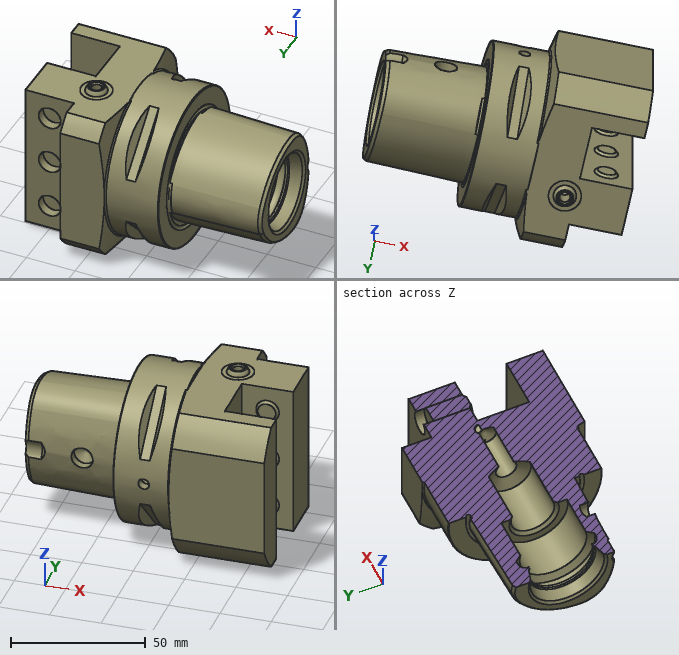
import cadquery as cq
import math

flange_start = 38.0
flange_end = 60.0
slot_floor = 78.0
overall_length = 98.0

shank_half_width = 22.0
lobe_eccentricity = 1.4
lobe_centre_distance = 10.7
shank_taper = 1 / 40
shank_chamfer_length = 1.4
shank_chamfer_depth = 0.8
neck_start = 35.6
lobe_count = 3

relief_start = 36.4
relief_entry_end = 37.0
relief_inner_radius = 22.5
relief_outer_radius = 24.2

flange_radius = 31.5
flange_front_chamfer = 0.3
gripper_centre = 50.0
gripper_floor_width = 3.7
gripper_floor_distance = 28.0
gripper_flank_angle = 30.0
gripper_count = 4

head_back = 32.0
head_front = -35.0
head_half_height = 30.0
head_corner_radius = 40.0
head_cone_angle = 15.0
head_root_chamfer = 0.6
jaw_back = 20.0
jaw_face = 1.0
slot_front = -20.0

drill_half_angle = 59.0
shank_hole_centre = 22.5
shank_hole_radius = 4.2
shank_hole_depth = 4.0
flange_hole_radius = 2.1
flange_hole_depth = 4.0
key_radius = 4.95
key_axis_y = -23.0
key_length = 6.3
key_tip_half_angle = 48.0

mouth_radius = 16.2
mouth_chamfer = 0.9
mouth_cone_radius = 15.15
lip_start = 5.5
lip_lead_radius = 13.8
lip_lead_length = 0.5
lip_radius = 13.3
lip_end = 7.0
groove_radius = 16.2
groove_start = 9.5
groove_end = 11.2
bore_start = 13.2
bore_radius = 13.7
bore_end = 30.0
thread_mouth_radius = 10.2
thread_radius = 8.9
thread_end = 52.0
coolant_radius = 4.25
coolant_end = 72.5

nozzle_x = 74.0
nozzle_y = 9.0
sleeve_radius = 6.1
sleeve_height = 8.0
ball_radius = 4.5
ball_depth = 1.4
ball_flat_height = 1.8
ball_bore_radius = 2.0
ball_bore_chamfer = 0.6
passage_radius = 2.0
passage_inner_y = 1.7
passage_inner_z = 3.0

screw_x = 88.0
screw_spacing = 20.0
screw_radius = 4.5
screw_tip_height = 1.0
screw_length = 16.0
screw_offsets = [-screw_spacing, 0.0, screw_spacing]


def drill_tip(radius, half_angle=drill_half_angle):
    """Length of a conical drill point."""
    return radius / math.tan(math.radians(half_angle))


def drill(radius, depth, start, direction, half_angle=drill_half_angle):
    """Drilled hole with a conical end; depth is the cylindrical part."""
    tip = drill_tip(radius, half_angle)
    axis = cq.Vector(*direction).normalized()
    origin = cq.Vector(*start)
    shaft = cq.Solid.makeCylinder(radius, depth, origin, axis)
    point = cq.Solid.makeCone(radius, 0, tip, origin + axis * depth, axis)
    return cq.Workplane(shaft.fuse(point))


def polar(radius, degrees, centre=(0.0, 0.0)):
    angle = math.radians(degrees)
    return centre[0] + radius * math.cos(angle), centre[1] + radius * math.sin(angle)


def revolve_about_x(profile):
    """Revolve a Workplane sketch of (x, radius) points around the tool axis."""
    return profile.close().revolve(360, (0, 0, 0), (1, 0, 0))


def lobed_section(x, half_width):
    """Constant-width section at station x: lobe arcs and flank arcs meeting tangentially, one lobe at +Y."""
    lobe_radius = half_width + lobe_eccentricity - lobe_centre_distance
    flank_radius = half_width - lobe_eccentricity + lobe_centre_distance
    pitch = 360 / lobe_count
    arc_half_angle = pitch / 4
    flank_offset = pitch / 2

    section = cq.Workplane("YZ", origin=(x, 0, 0))
    section = section.moveTo(*polar(lobe_radius, -arc_half_angle, (lobe_centre_distance, 0.0)))
    for index in range(lobe_count):
        direction = index * pitch
        lobe_centre = polar(lobe_centre_distance, direction)
        flank_direction = direction + flank_offset
        flank_centre = polar(lobe_centre_distance, flank_direction + 180)
        section = section.threePointArc(
            polar(lobe_radius, direction, lobe_centre),
            polar(lobe_radius, direction + arc_half_angle, lobe_centre),
        )
        section = section.threePointArc(
            polar(flank_radius, flank_direction, flank_centre),
            polar(flank_radius, flank_direction + arc_half_angle, flank_centre),
        )
    return section.close()


def lobed_frustum(x_start, half_width_start, x_end, half_width_end):
    wires = [
        lobed_section(x_start, half_width_start).wires().val(),
        lobed_section(x_end, half_width_end).wires().val(),
    ]
    return cq.Workplane(cq.Solid.makeLoft(wires, True))


def make_shank():
    front_half_width = shank_half_width - shank_taper * (neck_start - shank_chamfer_length)
    nose = lobed_frustum(
        0, front_half_width - shank_chamfer_depth, shank_chamfer_length, front_half_width
    )
    taper = lobed_frustum(shank_chamfer_length, front_half_width, neck_start, shank_half_width)
    neck = lobed_section(neck_start, shank_half_width).extrude(flange_start - neck_start)
    return nose.union(taper).union(neck)


def make_relief_groove():
    """Ring that trims the lobes at the neck and ends in a round groove in the flange face."""
    round_radius = (relief_outer_radius - relief_inner_radius) / 2
    groove_floor = (flange_start + round_radius, relief_inner_radius + round_radius)
    profile = (
        cq.Workplane("XY")
        .moveTo(relief_start, relief_outer_radius)
        .lineTo(relief_entry_end, relief_inner_radius)
        .lineTo(flange_start, relief_inner_radius)
        .threePointArc(groove_floor, (flange_start, relief_outer_radius))
    )
    return revolve_about_x(profile)


def make_flange():
    front_inner = flange_start + flange_front_chamfer
    profile = (
        cq.Workplane("XY")
        .moveTo(flange_start, 0)
        .lineTo(flange_start, flange_radius - flange_front_chamfer)
        .lineTo(front_inner, flange_radius)
        .lineTo(flange_end, flange_radius)
        .lineTo(flange_end, 0)
    )
    return revolve_about_x(profile)


def make_gripper_grooves():
    """Trapezoidal grooves cut along chords of the flange, on the diagonals."""
    half_floor = gripper_floor_width / 2
    depth = flange_radius - gripper_floor_distance
    half_mouth = half_floor + depth * math.tan(math.radians(gripper_flank_angle))
    groove = (
        cq.Workplane("XY")
        .moveTo(gripper_centre - half_floor, gripper_floor_distance)
        .lineTo(gripper_centre - half_mouth, flange_radius)
        .lineTo(gripper_centre + half_mouth, flange_radius)
        .lineTo(gripper_centre + half_floor, gripper_floor_distance)
        .close()
        .extrude(flange_radius, both=True)
    )
    pitch = 360 / gripper_count
    grooves = cq.Workplane()
    for index in range(gripper_count):
        angle = pitch / 2 + index * pitch
        grooves = grooves.add(groove.rotate((0, 0, 0), (1, 0, 0), angle))
    return grooves.combine()


def box_between(x_range, y_range, half_height):
    size = (x_range[1] - x_range[0], y_range[1] - y_range[0], 2 * half_height)
    corner = (x_range[0], y_range[0], -half_height)
    return cq.Workplane("XY", origin=corner).box(*size, centered=False)


def make_head():
    """Block with round corners, a conical back and a slotted, stepped jaw."""
    head_start = flange_end - head_root_chamfer
    root_radius = flange_radius + head_root_chamfer
    block = box_between((head_start, overall_length), (head_front, head_back), head_half_height)
    cone_length = (head_corner_radius - root_radius) * math.tan(math.radians(head_cone_angle))
    envelope = (
        cq.Workplane("XY")
        .moveTo(head_start, 0)
        .lineTo(head_start, flange_radius)
        .lineTo(flange_end, root_radius)
        .lineTo(flange_end + cone_length, head_corner_radius)
        .lineTo(overall_length, head_corner_radius)
        .lineTo(overall_length, 0)
    )
    jaw_range = (slot_floor, overall_length)
    tool_slot = box_between(jaw_range, (slot_front, jaw_face), head_half_height)
    jaw_step = box_between(jaw_range, (jaw_back, head_back), head_half_height)
    return block.intersect(revolve_about_x(envelope)).cut(tool_slot).cut(jaw_step)


def make_bore():
    lip_lead_end = lip_start + lip_lead_length
    groove_bend = (
        groove_start - (groove_start - lip_end) * math.cos(math.pi / 4),
        lip_radius + (groove_radius - lip_radius) * math.sin(math.pi / 4),
    )
    thread_lead = thread_mouth_radius - thread_radius
    drill_slope = math.tan(math.radians(drill_half_angle))
    thread_tip = (thread_radius - coolant_radius) / drill_slope
    profile = (
        cq.Workplane("XY")
        .moveTo(0, 0)
        .lineTo(0, mouth_radius)
        .lineTo(mouth_chamfer, mouth_cone_radius)
        .lineTo(lip_start, lip_lead_radius)
        .lineTo(lip_lead_end, lip_radius)
        .lineTo(lip_end, lip_radius)
        .threePointArc(groove_bend, (groove_start, groove_radius))
        .lineTo(groove_end, groove_radius)
        .lineTo(bore_start, bore_radius)
        .lineTo(bore_end, bore_radius)
        .lineTo(bore_end, thread_mouth_radius)
        .lineTo(bore_end + thread_lead, thread_radius)
        .lineTo(thread_end, thread_radius)
        .lineTo(thread_end + thread_tip, coolant_radius)
        .lineTo(coolant_end, coolant_radius)
        .lineTo(coolant_end + drill_tip(coolant_radius), 0)
    )
    return revolve_about_x(profile)


def make_side_drillings():
    """Key groove, shank hole and flange hole, all on the -Y side."""
    key_groove = drill(key_radius, key_length, (0, key_axis_y, 0), (1, 0, 0), key_tip_half_angle)
    shank_surface = -(shank_half_width - lobe_eccentricity)
    shank_hole = drill(
        shank_hole_radius, shank_hole_depth, (shank_hole_centre, shank_surface, 0), (0, 1, 0)
    )
    flange_hole = drill(
        flange_hole_radius, flange_hole_depth, (gripper_centre, -flange_radius, 0), (0, 1, 0)
    )
    return [key_groove, shank_hole, flange_hole]


def make_nozzle_recess():
    """Upper sleeve pocket and the slanted passage from the coolant bore to it."""
    pocket_floor = head_half_height - sleeve_height
    pocket = cq.Workplane("XY", origin=(nozzle_x, nozzle_y, pocket_floor)).circle(sleeve_radius)
    pocket = pocket.extrude(sleeve_height)
    inner_end = cq.Vector(nozzle_x, passage_inner_y, passage_inner_z)
    outer_end = cq.Vector(nozzle_x, nozzle_y, pocket_floor + passage_radius)
    run = outer_end - inner_end
    passage = cq.Solid.makeCylinder(passage_radius, run.Length, inner_end, run)
    return pocket.union(cq.Workplane(passage))


def make_screw_hole(z):
    jaw_thickness = jaw_back - jaw_face
    hole = cq.Workplane("XZ", origin=(screw_x, jaw_back, z)).circle(screw_radius)
    return hole.extrude(jaw_thickness)


def make_holder():
    holder = make_flange().union(make_shank()).union(make_head())
    holder = holder.cut(make_relief_groove()).cut(make_gripper_grooves()).cut(make_bore())
    for drilling in make_side_drillings():
        holder = holder.cut(drilling)
    recess = make_nozzle_recess()
    holder = holder.cut(recess).cut(recess.mirror("XY"))
    for z in screw_offsets:
        holder = holder.cut(make_screw_hole(z))
    return holder


def nozzle_ball_sphere():
    return cq.Workplane("XY", origin=(nozzle_x, nozzle_y, head_half_height - ball_depth)).sphere(ball_radius)


def nozzle_bore():
    """Straight coolant bore through the upper sleeve and ball."""
    bottom = head_half_height - sleeve_height
    bore = cq.Workplane("XY", origin=(nozzle_x, nozzle_y, bottom)).circle(ball_bore_radius)
    return bore.extrude(sleeve_height + ball_flat_height)


def make_nozzle_sleeve():
    bottom = head_half_height - sleeve_height
    sleeve = cq.Workplane("XY", origin=(nozzle_x, nozzle_y, bottom)).circle(sleeve_radius)
    return sleeve.extrude(sleeve_height).cut(nozzle_ball_sphere()).cut(nozzle_bore())


def make_nozzle_ball():
    flat = head_half_height + ball_flat_height
    above_flat = cq.Workplane("XY", origin=(nozzle_x, nozzle_y, flat)).circle(ball_radius)
    above_flat = above_flat.extrude(ball_radius)
    countersink = cq.Solid.makeCone(
        ball_bore_radius + ball_bore_chamfer,
        ball_bore_radius,
        ball_bore_chamfer,
        cq.Vector(nozzle_x, nozzle_y, flat),
        cq.Vector(0, 0, -1),
    )
    return nozzle_ball_sphere().cut(above_flat).cut(nozzle_bore()).cut(cq.Workplane(countersink))


def make_clamp_screw(z):
    tip_y = jaw_face - screw_tip_height
    screw = cq.Workplane("XZ", origin=(screw_x, tip_y + screw_length, z)).circle(screw_radius)
    return screw.extrude(screw_length).faces("<Y").chamfer(screw_tip_height)


holder = make_holder()
upper_nozzle = [make_nozzle_sleeve(), make_nozzle_ball()]
lower_nozzle = [body.mirror("XY") for body in upper_nozzle]
clamp_screws = [make_clamp_screw(z) for z in screw_offsets]

bodies = [holder, *upper_nozzle, *lower_nozzle, *clamp_screws]
result = cq.Compound.makeCompound([body.val() for body in bodies])